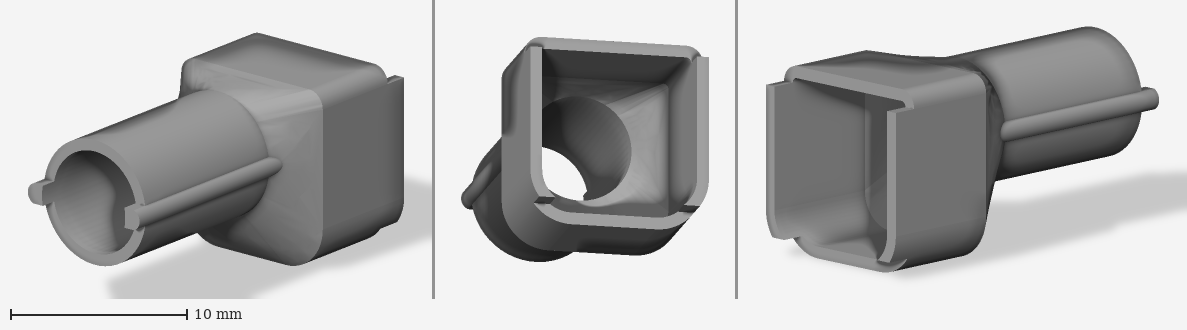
import cadquery as cq
import math

overall_length = 22.3
tube_front = 1.0
tube_back = 12.02
socket_front = 15.03
socket_back = 20.83

wall = 0.7
socket_width = 10.4
socket_height = 10.9
axis_below_top = 3.97
top_radius = 1.0
bottom_radius = 2.72

tube_radius = 3.75
rib_reach = 4.1
rib_height = 1.2

tab_bottom_gap = 1.12

top_fillet_angles = (42.0, 60.0)
bottom_fillet_angles = (-60.0, -30.0)

socket_top = axis_below_top
socket_bottom = socket_top - socket_height


def arc_edge(radius, center_x, center_z, y, start, end):
    """Arc in a plane of constant Y, between two angles in degrees."""
    points = []
    for angle in (start, (start + end) / 2, end):
        turn = math.radians(angle)
        points.append(cq.Vector(center_x + radius * math.cos(turn), y, center_z + radius * math.sin(turn)))
    return cq.Edge.makeThreePointArc(*points)


def socket_wire(y, inset):
    """Rounded socket outline, moved inward by inset."""
    top_r = top_radius - inset
    bottom_r = bottom_radius - inset
    top_x = socket_width / 2 - top_radius
    bottom_x = socket_width / 2 - bottom_radius
    top_z = socket_top - top_radius
    bottom_z = socket_bottom + bottom_radius
    corners = [
        arc_edge(top_r, top_x, top_z, y, 0, 90),
        arc_edge(top_r, -top_x, top_z, y, 90, 180),
        arc_edge(bottom_r, -bottom_x, bottom_z, y, 180, 270),
        arc_edge(bottom_r, bottom_x, bottom_z, y, 270, 360),
    ]
    edges = []
    for index, corner in enumerate(corners):
        following = corners[(index + 1) % len(corners)]
        edges += [corner, cq.Edge.makeLine(corner.endPoint(), following.startPoint())]
    return cq.Wire.assembleEdges(edges)


def tube_wire(y, radius):
    """Circle split into arcs that pair with the socket outline's edges."""
    top_low, top_high = top_fillet_angles
    bottom_low, bottom_high = bottom_fillet_angles
    angles = [
        top_low, top_high, 180 - top_high, 180 - top_low,
        180 - bottom_high, 180 - bottom_low, 360 + bottom_low, 360 + bottom_high, 360 + top_low,
    ]
    edges = [arc_edge(radius, 0, 0, y, a, b) for a, b in zip(angles, angles[1:])]
    return cq.Wire.assembleEdges(edges)


def along_y(wire, length):
    return cq.Workplane(cq.Solid.extrudeLinear(wire, [], cq.Vector(0, length, 0)))


def body(inset, socket_end):
    """Tube, transition and socket as a solid, moved inward by inset."""
    radius = tube_radius - inset
    tube = along_y(tube_wire(tube_front, radius), tube_back - tube_front)
    socket = along_y(socket_wire(socket_front, inset), socket_end - socket_front)
    transition = cq.Solid.makeLoft([tube_wire(tube_back, radius), socket_wire(socket_front, inset)], True)
    return tube.union(cq.Workplane(transition)).union(socket)


def ribs():
    """Bar across the tube whose rounded ends form the two side ribs."""
    half_height = rib_height / 2
    shoulder = math.sqrt(tube_radius**2 - half_height**2)
    return (
        cq.Workplane("XZ")
        .moveTo(-shoulder, -half_height)
        .lineTo(shoulder, -half_height)
        .threePointArc((rib_reach, 0), (shoulder, half_height))
        .lineTo(-shoulder, half_height)
        .threePointArc((-rib_reach, 0), (-shoulder, -half_height))
        .close()
        .extrude(-socket_front)
    )


def tab_band():
    """Height band, past the socket end, in which the side walls continue as tabs."""
    low = socket_bottom + tab_bottom_gap
    high = socket_top - top_radius
    size = (socket_width, overall_length - socket_back, high - low)
    return cq.Workplane("XY").box(*size).translate((0, (socket_back + overall_length) / 2, (low + high) / 2))


tabs = along_y(socket_wire(socket_back, 0), overall_length - socket_back).intersect(tab_band())
bore = along_y(tube_wire(0, tube_radius - wall), tube_back)
cavity = body(wall, overall_length).union(bore)

result = body(0, socket_back).union(ribs()).union(tabs).cut(cavity)